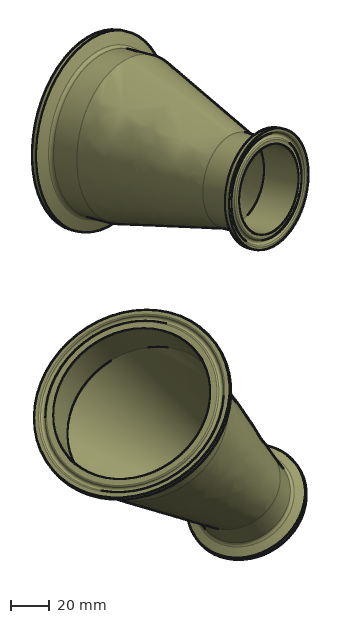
import cadquery as cq
import math

LENGTH = 130.0
FERRULE_LENGTH = 23.0

WIDE_FLANGE_R = 106.0 / 2
WIDE_PIPE_R = 89.1 / 2
WIDE_BORE_R = 85.1 / 2
WIDE_GROOVE_R = 96.7 / 2

NARROW_FLANGE_R = 64.0 / 2
NARROW_PIPE_R = 50.8 / 2
NARROW_BORE_R = 47.8 / 2
NARROW_GROOVE_R = 56.5 / 2

RIM_WIDTH = 2.85
BACK_ANGLE = 20.0
NECK_FILLET = 2.2

GROOVE_HALF_WIDTH = 2.15
GROOVE_DEPTH = 1.6
GROOVE_LIP_WIDTH = 0.85

NARROW_Y = NARROW_PIPE_R - WIDE_PIPE_R


def revolve_about_x(profile):
    """Revolve an (axial, radial) profile in the XY plane about the X axis."""
    return profile.revolve(360, (0, 0, 0), (1, 0, 0))


def ferrule_body(flange_r, pipe_r):
    """Solid flange and pipe stub with the flange face at X = 0."""
    slope = math.radians(BACK_ANGLE)
    neck_x = RIM_WIDTH + (flange_r - pipe_r) * math.tan(slope)
    tangent = NECK_FILLET * math.tan((math.pi / 2 - slope) / 2)
    back_end = (neck_x - tangent * math.sin(slope), pipe_r + tangent * math.cos(slope))
    pipe_start = (neck_x + tangent, pipe_r)
    profile = (
        cq.Workplane("XY")
        .lineTo(0, flange_r)
        .lineTo(RIM_WIDTH, flange_r)
        .lineTo(*back_end)
        .tangentArcPoint(pipe_start, relative=False)
        .lineTo(FERRULE_LENGTH, pipe_r)
        .lineTo(FERRULE_LENGTH, 0)
        .close()
    )
    return revolve_about_x(profile)


def gasket_groove(groove_r):
    """Ring to cut from the flange face at X = 0."""
    turn = 2 * math.atan(GROOVE_DEPTH / GROOVE_HALF_WIDTH)
    lip_r = GROOVE_LIP_WIDTH / math.sin(turn)
    blend_x = lip_r * (1 - math.cos(turn))
    blend_half_width = GROOVE_HALF_WIDTH - GROOVE_LIP_WIDTH
    lip_mid_x = lip_r * (1 - math.cos(turn / 2))
    lip_mid_half_width = GROOVE_HALF_WIDTH - lip_r * math.sin(turn / 2)
    profile = (
        cq.Workplane("XY")
        .moveTo(0, groove_r - GROOVE_HALF_WIDTH)
        .threePointArc((lip_mid_x, groove_r - lip_mid_half_width), (blend_x, groove_r - blend_half_width))
        .threePointArc((GROOVE_DEPTH, groove_r), (blend_x, groove_r + blend_half_width))
        .threePointArc((lip_mid_x, groove_r + lip_mid_half_width), (0, groove_r + GROOVE_HALF_WIDTH))
        .close()
    )
    return revolve_about_x(profile)


def place_narrow(shape):
    """Turn an end piece to face +X and move it to the narrow end."""
    return shape.mirror("YZ").translate((LENGTH, NARROW_Y, 0))


def eccentric_cone(wide_r, narrow_r):
    """Oblique cone joining the two pipe stubs."""
    return (
        cq.Workplane("YZ", origin=(FERRULE_LENGTH, 0, 0))
        .circle(wide_r)
        .workplane(offset=LENGTH - 2 * FERRULE_LENGTH)
        .center(NARROW_Y, 0)
        .circle(narrow_r)
        .loft(ruled=True)
    )


def bore(radius):
    """Straight bore through a ferrule whose face is at X = 0."""
    return cq.Workplane("YZ").circle(radius).extrude(FERRULE_LENGTH)


def ferrule(flange_r, pipe_r, bore_r, groove_r):
    """Complete hollow ferrule with its face at X = 0."""
    return ferrule_body(flange_r, pipe_r).cut(bore(bore_r)).cut(gasket_groove(groove_r))


wide_ferrule = ferrule(WIDE_FLANGE_R, WIDE_PIPE_R, WIDE_BORE_R, WIDE_GROOVE_R)
narrow_ferrule = place_narrow(ferrule(NARROW_FLANGE_R, NARROW_PIPE_R, NARROW_BORE_R, NARROW_GROOVE_R))
cone_wall = eccentric_cone(WIDE_PIPE_R, NARROW_PIPE_R).cut(eccentric_cone(WIDE_BORE_R, NARROW_BORE_R))

result = wide_ferrule.union(cone_wall).union(narrow_ferrule)